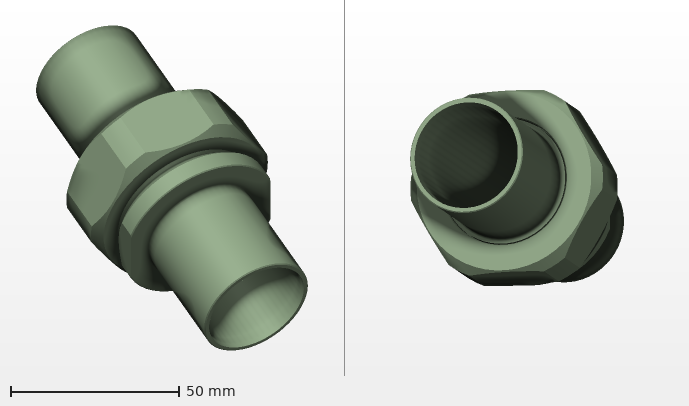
import cadquery as cq
import math


length = 106.0
x_start = -length / 2
x_end = length / 2
pipe_radius = 35.0 / 2
bore_radius = 32.0 / 2
root_fillet = 0.6
end_chamfer = 0.3

nut_front = -13.6
nut_length = 21.0
nut_back = nut_front + nut_length
across_flats = 55.0
nut_corner_radius = 59.7 / 2
nut_chamfer = 2.8
nut_wall = 4.2
nut_bore_radius = 38.5 / 2
nut_bore_chamfer = 0.3

shoulder_radius = 38.0 / 2
flange_radius = 44.0 / 2
flange_length = 4.2
flange_front = nut_front + nut_wall
seat = flange_front + flange_length

spigot_radius = 44.4 / 2
collar_radius = 50.9 / 2
collar_flats = 47.0
collar_length = 5.7
collar_back = 18.0
collar_front = collar_back - collar_length
collar_chamfer = 0.3
cone_root_radius = 44.8 / 2
root_step = cone_root_radius - spigot_radius
cone_start = 9.0


def revolve_about_x(profile):
    """Turn a closed (x, radius) profile into a solid around the X axis."""
    return profile.close().revolve(360, (0, 0, 0), (1, 0, 0))


def make_nut():
    hexagon = (
        cq.Workplane("YZ", origin=(nut_front, 0, 0))
        .polygon(6, across_flats / math.cos(math.pi / 6))
        .extrude(nut_length)
    )
    envelope = (
        cq.Workplane("YZ", origin=(nut_front, 0, 0))
        .circle(nut_corner_radius)
        .extrude(nut_length)
        .edges()
        .chamfer(nut_chamfer)
    )
    opening = revolve_about_x(
        cq.Workplane("XY")
        .moveTo(nut_front, 0)
        .lineTo(nut_front, nut_bore_radius + nut_bore_chamfer)
        .lineTo(nut_front + nut_bore_chamfer, nut_bore_radius)
        .lineTo(flange_front, nut_bore_radius)
        .lineTo(flange_front, spigot_radius)
        .lineTo(nut_back, spigot_radius)
        .lineTo(nut_back, 0)
    )
    return hexagon.intersect(envelope).cut(opening)


def make_sleeve():
    fillet_centre = (nut_front - root_fillet, pipe_radius + root_fillet)
    fillet_middle = (
        fillet_centre[0] + root_fillet * math.cos(math.pi / 4),
        fillet_centre[1] - root_fillet * math.sin(math.pi / 4),
    )
    return revolve_about_x(
        cq.Workplane("XY")
        .moveTo(x_start, bore_radius)
        .lineTo(x_start, pipe_radius - end_chamfer)
        .lineTo(x_start + end_chamfer, pipe_radius)
        .lineTo(nut_front - root_fillet, pipe_radius)
        .threePointArc(fillet_middle, (nut_front, pipe_radius + root_fillet))
        .lineTo(nut_front, shoulder_radius)
        .lineTo(flange_front, shoulder_radius)
        .lineTo(flange_front, flange_radius)
        .lineTo(seat, flange_radius)
        .lineTo(seat, bore_radius)
    )


def make_collar():
    round_middle = (
        cone_start - root_step + root_step * math.sin(math.pi / 4),
        cone_root_radius - root_step * math.cos(math.pi / 4),
    )
    blank = revolve_about_x(
        cq.Workplane("XY")
        .moveTo(seat, 0)
        .lineTo(seat, spigot_radius)
        .lineTo(cone_start - root_step, spigot_radius)
        .threePointArc(round_middle, (cone_start, cone_root_radius))
        .lineTo(collar_front, collar_radius)
        .lineTo(collar_back - collar_chamfer, collar_radius)
        .lineTo(collar_back, collar_radius - collar_chamfer)
        .lineTo(collar_back, 0)
    )
    between_flats = (
        cq.Workplane("YZ", origin=(seat, 0, 0))
        .rect(collar_flats, 2 * collar_radius)
        .extrude(collar_back - seat)
    )
    return blank.intersect(between_flats)


def make_body():
    fillet_centre = (collar_back + root_fillet, pipe_radius + root_fillet)
    fillet_middle = (
        fillet_centre[0] - root_fillet * math.cos(math.pi / 4),
        fillet_centre[1] - root_fillet * math.sin(math.pi / 4),
    )
    tail = revolve_about_x(
        cq.Workplane("XY")
        .moveTo(seat, 0)
        .lineTo(seat, pipe_radius)
        .lineTo(collar_back, pipe_radius)
        .lineTo(collar_back, pipe_radius + root_fillet)
        .threePointArc(fillet_middle, (collar_back + root_fillet, pipe_radius))
        .lineTo(x_end - end_chamfer, pipe_radius)
        .lineTo(x_end, pipe_radius - end_chamfer)
        .lineTo(x_end, 0)
    )
    bore = cq.Workplane("YZ", origin=(seat, 0, 0)).circle(bore_radius).extrude(x_end - seat)
    return make_collar().union(tail).cut(bore)


nut = make_nut()
sleeve = make_sleeve()
body = make_body()

result = cq.Compound.makeCompound([nut.val(), sleeve.val(), body.val()])